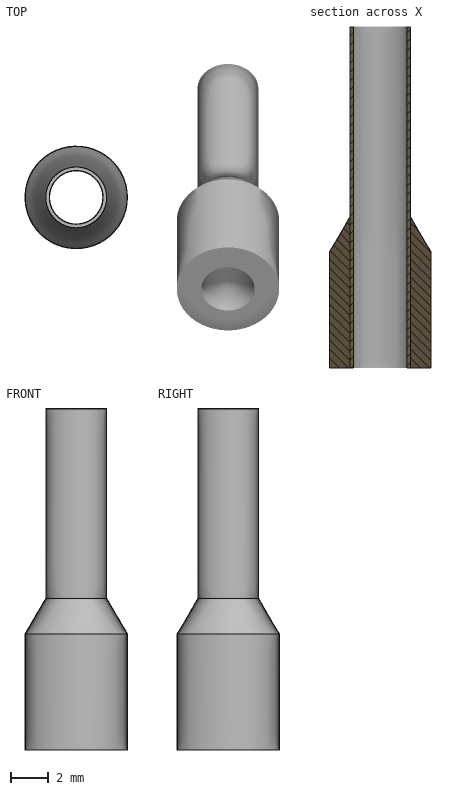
import cadquery as cq

TOTAL_HEIGHT = 18.0
COLLAR_DIAMETER = 5.4
TUBE_DIAMETER = 3.2
TUBE_WALL = 0.2
COLLAR_STRAIGHT_HEIGHT = 6.12
COLLAR_HEIGHT = 8.0

collar_radius = COLLAR_DIAMETER / 2
tube_radius = TUBE_DIAMETER / 2
bore_radius = tube_radius - TUBE_WALL


def make_tube():
    """Plain metal sleeve that runs the full height of the ferrule."""
    return (
        cq.Workplane("XY")
        .circle(tube_radius)
        .circle(bore_radius)
        .extrude(TOTAL_HEIGHT)
    )


def make_collar():
    """Insulating collar: a cylinder with a conical shoulder, fitted around the sleeve."""
    half_section = [
        (tube_radius, 0),
        (collar_radius, 0),
        (collar_radius, COLLAR_STRAIGHT_HEIGHT),
        (tube_radius, COLLAR_HEIGHT),
    ]
    return (
        cq.Workplane("XZ")
        .polyline(half_section)
        .close()
        .revolve(360, (0, 0, 0), (0, 1, 0))
    )


tube = make_tube()
collar = make_collar()

result = cq.Compound.makeCompound([tube.val(), collar.val()])